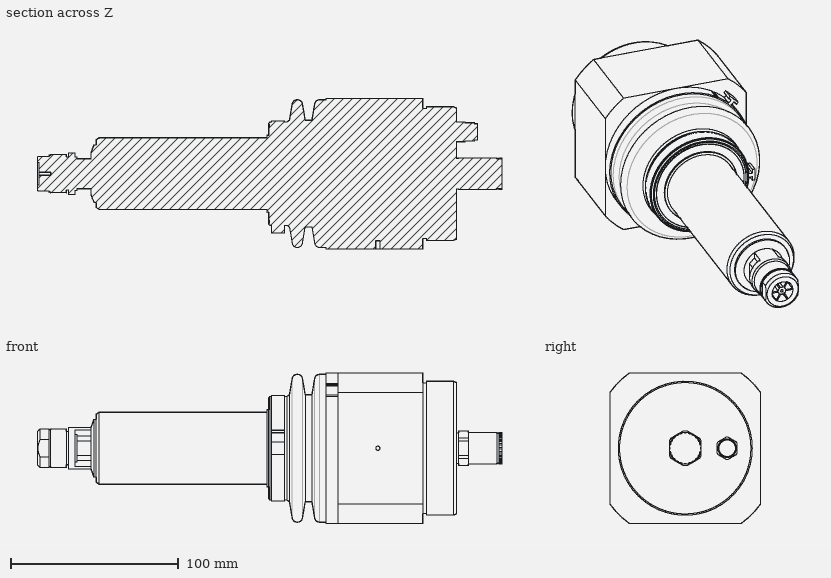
import cadquery as cq
import math

TOTAL_LENGTH = 277.39
BODY_SIZE = 90.0
BODY_CORNER_DIAMETER = 112.0

X_TIP_NUT_END = 7.0
X_TIP_SLEEVE_START = 8.0
X_TIP_SLEEVE_END = 17.4
X_FLANGE_START = 18.5
X_FLANGE_END = 22.6
X_TUBE_FLARE_START = 32.0
X_TUBE_CAP_RIM = 33.7
X_TUBE_CAP_END = 35.1
X_TUBE_START = 36.9
X_LIP_START = 137.0
X_CUFF_START = 138.0
X_SMALL_CLAMP_START = 139.6
X_SMALL_CLAMP_END = 147.5
X_CUFF_END = 149.0
X_FIRST_FOLD_START = 150.4
X_FIRST_FOLD_END = 159.9
X_SECOND_FOLD_START = 163.8
X_SECOND_FOLD_CREST = 168.3
X_LARGE_CLAMP_START = 172.2
X_BODY_START = 179.4
X_BODY_END = 230.0
X_CAP_START = 232.2
X_CAP_END = 250.2
X_MAIN_HEX_START = 251.4
X_MAIN_HEX_END = 257.2
X_MAIN_BARREL_END = 274.2
X_MAIN_RING_START = 275.4
X_SMALL_HEX_END = 255.3
X_SMALL_BARREL_END = 261.0
X_SMALL_TIP_END = 262.8

TIP_DIAMETER = 23.0
TIP_CHAMFER = 1.6
TIP_FLAT_DISTANCE = 10.3
TIP_GROOVE_DIAMETER = 22.2
TIP_NECK_DIAMETER = 20.0
FLANGE_DIAMETER = 24.9
TONGUE_WIDTH = 11.6
SHANK_WIDTH = 18.0
SHANK_CHAMFER = 4.8
SHANK_SHOULDER_DIAMETER = 20.0
SHANK_SHOULDER_LENGTH = 1.1
SOCKET_DIAMETER = 13.2
SOCKET_DEPTH = 8.0
SPOKE_COUNT = 6
SPOKE_WIDTH = 0.8
SPOKE_RECESS = 1.0
SPOKE_HUB_DIAMETER = 4.92
SPOKE_HUB_HOLE_DIAMETER = 1.6

TUBE_CAP_RADIUS = 17.3
TUBE_EDGE_RADIUS = 20.3
TUBE_RADIUS = 21.5
LIP_RADIUS = 23.1
CUFF_FACE_RADIUS = 28.0
CUFF_GROOVE_RADIUS = 29.3
CUFF_GROOVE_DEPTH = 0.5
CUFF_RADIUS = 31.0
CUFF_CHAMFER = 0.9
SMALL_CLAMP_RADIUS = 31.6
FOLD_ROOT_RADIUS = 32.0
FOLD_SHOULDER_RADIUS = 41.5
FOLD_CREST_RADIUS = 44.2
FOLD_FLANK_RUN = 1.6
LARGE_CLAMP_RADIUS = BODY_SIZE / 2

EAR_HEAD_WIDTH = 7.4
EAR_HEAD_THICKNESS = 1.6
EAR_STEM_WIDTH = 2.5
EAR_RISE = 3.8
SMALL_EAR_ANGLE = 0.0
LARGE_EAR_ANGLE = 45.0
EAR_OVERLAP = 1.0
BAND_END_OFFSET = 10.2
BAND_END_WIDTH = 1.6
BAND_END_DEPTH = 0.4

BODY_HOLE_DIAMETER = 2.5
BODY_HOLE_DEPTH = 5.0
BODY_HOLE_X = 203.2
CAP_NECK_RADIUS = 39.0
CAP_RADIUS = 40.0
CAP_CHAMFER_LENGTH = 1.8
CAP_CHAMFER_HEIGHT = 0.8

MAIN_NECK_DIAMETER = 18.5
MAIN_HEX_FLATS = 19.0
MAIN_HEX_CORNERS = 20.8
MAIN_BARREL_DIAMETER = 19.0
MAIN_GROOVE_DIAMETER = 18.0
KNURL_COUNT = 24
KNURL_WIDTH = 0.8
KNURL_DEPTH = 0.5
SMALL_CONNECTOR_Y = 25.0
SMALL_HEX_FLATS = 12.0
SMALL_HEX_CORNERS = 13.2
SMALL_BARREL_DIAMETER = 11.0
SMALL_TIP_DIAMETER = 9.9


def rod(x_start, x_end, diameter, y=0.0):
    """Cylinder parallel to X."""
    return cq.Workplane("YZ", origin=(x_start, y, 0)).circle(diameter / 2).extrude(x_end - x_start)


def bar(x_start, x_end, width_y, width_z, y=0.0):
    """Rectangular bar parallel to X, centred on y at mid-height."""
    return cq.Workplane("YZ", origin=(x_start, y, 0)).rect(width_y, width_z).extrude(x_end - x_start)


def about_axis(shape, angle):
    """Turn a shape about the X axis; a positive angle carries -Y toward +Z."""
    return shape.rotate((0, 0, 0), (1, 0, 0), -angle)


def hex_nut(x_start, x_end, flats, corners, y=0.0):
    """Hexagon with corners toward +Z and -Z, trimmed by a cylinder."""
    point_to_point = flats / math.cos(math.pi / 6)
    hexagon = (
        cq.Workplane("YZ", origin=(x_start, y, 0))
        .transformed(rotate=(0, 0, 90))
        .polygon(6, point_to_point)
        .extrude(x_end - x_start)
    )
    return hexagon.intersect(rod(x_start, x_end, corners, y))


def front_connector():
    nut = rod(0, X_TIP_NUT_END, TIP_DIAMETER).faces("<X").chamfer(TIP_CHAMFER)
    nut = nut.intersect(bar(0, X_TIP_NUT_END, 2 * TIP_FLAT_DISTANCE, TIP_DIAMETER))
    groove = rod(X_TIP_NUT_END, X_TIP_SLEEVE_START, TIP_GROOVE_DIAMETER)
    sleeve = rod(X_TIP_SLEEVE_START, X_TIP_SLEEVE_END, TIP_DIAMETER)
    neck = rod(X_TIP_SLEEVE_END, X_FLANGE_START, TIP_NECK_DIAMETER)
    flange = rod(X_FLANGE_START, X_FLANGE_END, FLANGE_DIAMETER)

    tongue = rod(X_FLANGE_END, X_TUBE_FLARE_START, FLANGE_DIAMETER)
    tongue = tongue.intersect(bar(X_FLANGE_END, X_TUBE_FLARE_START, TONGUE_WIDTH, FLANGE_DIAMETER))
    shoulder = rod(X_FLANGE_END, X_FLANGE_END + SHANK_SHOULDER_LENGTH, SHANK_SHOULDER_DIAMETER)
    shank = bar(X_FLANGE_END, X_TUBE_FLARE_START, SHANK_WIDTH, SHANK_WIDTH)
    shank = shank.edges("|X").chamfer(SHANK_CHAMFER)

    connector = nut
    for piece in (groove, sleeve, neck, flange, tongue, shoulder, shank):
        connector = connector.union(piece)
    return connector.cut(rod(0, SOCKET_DEPTH, SOCKET_DIAMETER)).union(socket_insert())


def socket_insert():
    """Radial webs around a hub, set back inside the socket."""
    reach = SOCKET_DIAMETER / 2
    insert = rod(SPOKE_RECESS, SOCKET_DEPTH, SPOKE_HUB_DIAMETER)
    for index in range(SPOKE_COUNT):
        web = bar(SPOKE_RECESS, SOCKET_DEPTH, reach, SPOKE_WIDTH, y=-reach / 2)
        insert = insert.union(about_axis(web, index * 360 / SPOKE_COUNT))
    return insert.cut(rod(SPOKE_RECESS, SOCKET_DEPTH, SPOKE_HUB_HOLE_DIAMETER))


def tube_and_bellows():
    """Turned profile from the tube's front flare to the front face of the body."""
    first_crest_x = (X_FIRST_FOLD_START + X_FIRST_FOLD_END) / 2
    profile = (
        cq.Workplane("XY")
        .moveTo(X_TUBE_FLARE_START, 0)
        .lineTo(X_TUBE_FLARE_START, FLANGE_DIAMETER / 2)
        .lineTo(X_TUBE_CAP_RIM, TUBE_CAP_RADIUS)
        .lineTo(X_TUBE_CAP_END, TUBE_CAP_RADIUS)
        .lineTo(X_TUBE_CAP_END, TUBE_EDGE_RADIUS)
        .lineTo(X_TUBE_START, TUBE_RADIUS)
        .lineTo(X_LIP_START, TUBE_RADIUS)
        .lineTo(X_LIP_START, LIP_RADIUS)
        .lineTo(X_CUFF_START, LIP_RADIUS)
        .lineTo(X_CUFF_START, CUFF_FACE_RADIUS)
        .lineTo(X_CUFF_START + CUFF_GROOVE_DEPTH, CUFF_FACE_RADIUS)
        .lineTo(X_CUFF_START + CUFF_GROOVE_DEPTH, CUFF_GROOVE_RADIUS)
        .lineTo(X_CUFF_START, CUFF_GROOVE_RADIUS)
        .lineTo(X_CUFF_START, CUFF_RADIUS - CUFF_CHAMFER)
        .lineTo(X_CUFF_START + CUFF_CHAMFER, CUFF_RADIUS)
        .lineTo(X_SMALL_CLAMP_START, CUFF_RADIUS)
        .lineTo(X_SMALL_CLAMP_START, SMALL_CLAMP_RADIUS)
        .lineTo(X_SMALL_CLAMP_END, SMALL_CLAMP_RADIUS)
        .lineTo(X_SMALL_CLAMP_END, CUFF_RADIUS)
        .lineTo(X_CUFF_END, CUFF_RADIUS)
        .lineTo(X_FIRST_FOLD_START, FOLD_ROOT_RADIUS)
        .lineTo(X_FIRST_FOLD_START + FOLD_FLANK_RUN, FOLD_SHOULDER_RADIUS)
        .threePointArc(
            (first_crest_x, FOLD_CREST_RADIUS),
            (X_FIRST_FOLD_END - FOLD_FLANK_RUN, FOLD_SHOULDER_RADIUS),
        )
        .lineTo(X_FIRST_FOLD_END, FOLD_ROOT_RADIUS)
        .lineTo(X_SECOND_FOLD_START, FOLD_ROOT_RADIUS)
        .lineTo(X_SECOND_FOLD_START + FOLD_FLANK_RUN, FOLD_SHOULDER_RADIUS)
        .tangentArcPoint((X_SECOND_FOLD_CREST, FOLD_CREST_RADIUS), relative=False)
        .lineTo(X_LARGE_CLAMP_START, FOLD_CREST_RADIUS)
        .lineTo(X_LARGE_CLAMP_START, LARGE_CLAMP_RADIUS)
        .lineTo(X_BODY_START, LARGE_CLAMP_RADIUS)
        .lineTo(X_BODY_START, 0)
        .close()
    )
    return profile.revolve(360, (0, 0, 0), (1, 0, 0))


def clamp_ear(x_start, x_end, radius, angle):
    """T-shaped tightening ear standing on a clamp band."""
    tip = radius + EAR_RISE
    head_centre = tip - EAR_HEAD_THICKNESS / 2
    head = bar(x_start, x_end, EAR_HEAD_THICKNESS, EAR_HEAD_WIDTH, y=-head_centre)
    stem_length = head_centre - radius + EAR_OVERLAP
    stem = bar(x_start, x_end, stem_length, EAR_STEM_WIDTH, y=-(head_centre - stem_length / 2))
    return about_axis(head.union(stem), angle)


def band_end_groove(x_start, x_end, radius, ear_angle):
    """Shallow groove where the clamp band overlaps itself, beside the ear."""
    groove = bar(x_start, x_end, 2 * BAND_END_DEPTH, BAND_END_WIDTH, y=-radius)
    return about_axis(groove, ear_angle + math.degrees(BAND_END_OFFSET / radius))


def body():
    block = bar(X_BODY_START, X_BODY_END, BODY_SIZE, BODY_SIZE)
    block = block.intersect(rod(X_BODY_START, X_BODY_END, BODY_CORNER_DIAMETER))
    side_hole = (
        cq.Workplane("XZ", origin=(BODY_HOLE_X, -BODY_SIZE / 2, 0))
        .circle(BODY_HOLE_DIAMETER / 2)
        .extrude(-BODY_HOLE_DEPTH)
    )
    return block.cut(side_hole)


def rear_cap():
    neck = rod(X_BODY_END, X_CAP_START, 2 * CAP_NECK_RADIUS)
    cap = rod(X_CAP_START, X_CAP_END, 2 * CAP_RADIUS)
    cap = cap.faces(">X").edges().chamfer(CAP_CHAMFER_LENGTH, CAP_CHAMFER_HEIGHT)
    return neck.union(cap)


def main_rear_connector():
    connector = rod(X_CAP_END, X_MAIN_HEX_START, MAIN_NECK_DIAMETER)
    connector = connector.union(hex_nut(X_MAIN_HEX_START, X_MAIN_HEX_END, MAIN_HEX_FLATS, MAIN_HEX_CORNERS))
    connector = connector.union(rod(X_MAIN_HEX_END, X_MAIN_BARREL_END, MAIN_BARREL_DIAMETER))
    connector = connector.union(rod(X_MAIN_BARREL_END, X_MAIN_RING_START, MAIN_GROOVE_DIAMETER))
    return connector.union(knurled_ring())


def knurled_ring():
    ring_radius = MAIN_BARREL_DIAMETER / 2
    ring = rod(X_MAIN_RING_START, TOTAL_LENGTH, MAIN_BARREL_DIAMETER)
    for index in range(KNURL_COUNT):
        notch = bar(X_MAIN_RING_START, TOTAL_LENGTH, 2 * KNURL_DEPTH, KNURL_WIDTH, y=-ring_radius)
        ring = ring.cut(about_axis(notch, index * 360 / KNURL_COUNT))
    return ring


def small_rear_connector():
    nut = hex_nut(X_CAP_END, X_SMALL_HEX_END, SMALL_HEX_FLATS, SMALL_HEX_CORNERS, SMALL_CONNECTOR_Y)
    barrel = rod(X_SMALL_HEX_END, X_SMALL_BARREL_END, SMALL_BARREL_DIAMETER, SMALL_CONNECTOR_Y)
    tip = rod(X_SMALL_BARREL_END, X_SMALL_TIP_END, SMALL_TIP_DIAMETER, SMALL_CONNECTOR_Y)
    return nut.union(barrel).union(tip)


small_clamp = (X_SMALL_CLAMP_START, X_SMALL_CLAMP_END, SMALL_CLAMP_RADIUS, SMALL_EAR_ANGLE)
large_clamp = (X_LARGE_CLAMP_START, X_BODY_START, LARGE_CLAMP_RADIUS, LARGE_EAR_ANGLE)

result = tube_and_bellows().union(front_connector()).union(body()).union(rear_cap())
result = result.union(main_rear_connector()).union(small_rear_connector())
for clamp in (small_clamp, large_clamp):
    result = result.cut(band_end_groove(*clamp)).union(clamp_ear(*clamp))